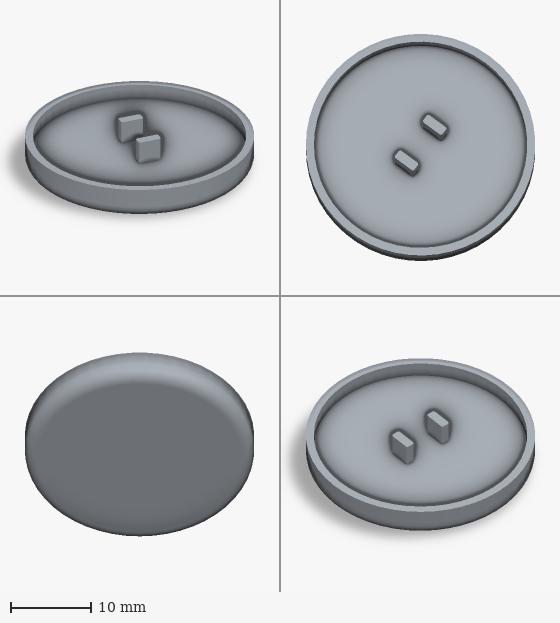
import cadquery as cq

outer_diameter = 28.5
inner_diameter = 26.5
rim_height = 4.0
floor_thickness = 2.0
bottom_edge_radius = 1.5

overall_height = 5.0
tab_width = 1.2
tab_length = 3.0
tab_spacing = 5.75
tab_corner_radius = 0.25


def make_tray():
    """Shallow cup with a rounded lower edge and a flat floor."""
    body = cq.Workplane("XY").circle(outer_diameter / 2).extrude(rim_height)
    body = body.faces("<Z").edges().fillet(bottom_edge_radius)
    recess = (
        cq.Workplane("XY")
        .workplane(offset=floor_thickness)
        .circle(inner_diameter / 2)
        .extrude(rim_height - floor_thickness)
    )
    return body.cut(recess)


def make_tabs():
    """Two tabs, mirrored about the YZ plane, rising above the rim."""
    return (
        cq.Workplane("XY")
        .workplane(offset=floor_thickness)
        .pushPoints([(-tab_spacing / 2, 0), (tab_spacing / 2, 0)])
        .rect(tab_width, tab_length)
        .extrude(overall_height - floor_thickness)
        .edges("|Z")
        .fillet(tab_corner_radius)
    )


result = make_tray().union(make_tabs())